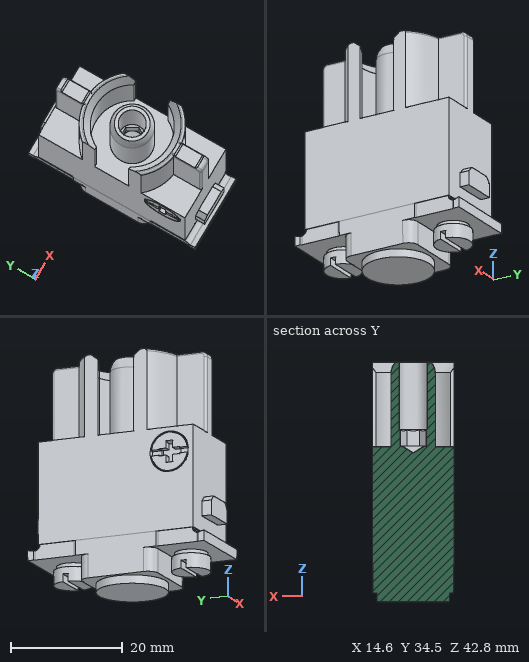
import cadquery as cq
import math

TOTAL_HEIGHT = 42.84
PLATE_Z = 6.0
BODY_Z = 8.75
BODY_TOP = 27.75

WIDTH = 14.6
BODY_LENGTH = 30.3

PLATE_LENGTH = 34.5
SIDE_DRAFT = 0.5
SIDE_RELIEF = 0.12
RELIEF_START = 8.05
RELIEF_END = 15.95
RELIEF_STEP = 0.3
LIP_Z = 7.95
GROOVE_Z = 7.7
GROOVE_OUTER = 16.25
GROOVE_INNER = 14.95
GROOVE_WALL_Z = 8.5

BOSS_LENGTH = 14.85
BOSS_RADIUS = 2.0
SPIGOT_DIAMETER = 13.0
SPIGOT_HEIGHT = 1.55

SCREW_OFFSET = 11.55
SCREW_NECK_DIAMETER = 6.0
SCREW_HEAD_DIAMETER = 7.0
SCREW_HEAD_TOP = 5.2
SCREW_HEAD_BOTTOM = 2.5
SCREW_SLOT_WIDTH = 1.0
SCREW_SLOT_DEPTH = 1.45

TAB_WIDTH = 6.95
TAB_BOTTOM = 11.7
TAB_TOP = 15.45
TAB_CHAMFER = 1.0
TAB_REACH = 17.0

SHELL_RADIUS = 9.5
SHELL_EDGE_RADIUS = 0.5
BORE_RADIUS = 7.5
MOUTH_RADIUS = 8.75
MOUTH_DEPTH = 1.9
SIDE_GAP = 7.0

RIB_WIDTH = 2.9
RIB_CORNER_RADIUS = 0.45
RIB_NOSE_RADIUS = 1.1
RIB_RELIEF_START = 9.35
RIB_RELIEF_END = 14.1
RIB_RELIEF_RAMP = 0.35
RIB_RELIEF_DEPTH = 0.15

PIN_RADIUS = 4.0
PIN_TIP_RADIUS = 3.2
PIN_TIP_HEIGHT = 2.1
PIN_BULGE_RADIUS = 3.82
PIN_BORE_DIAMETER = 5.0
PIN_BORE_DEPTH = 12.0
HEX_SIDES = 6
HEX_ACROSS_FLATS = 4.0
HEX_DEPTH = 3.0
DRILL_HALF_ANGLE = 59.0

CROSS_Y = -10.45
CROSS_Z = 23.25
CROSS_RING_OUTER = 7.45
CROSS_RING_INNER = 7.1
CROSS_RING_DEPTH = 0.5
CROSS_SLOT_WIDTH = 1.05
CROSS_SLOT_DEPTH = 1.0
CROSS_ARM_LENGTH = 4.0
CROSS_ARM_WIDTH = 1.3
CROSS_DEPTH = 1.5
CROSS_FLOOR_LENGTH = 3.5

HALF_WIDTH = WIDTH / 2
REVOLVE_AXIS = ((0, 0, 0), (0, 1, 0))
END_SIDES = (-1, 1)


def block(x_size, y_size, z_low, z_high):
    """Box centred on the Z axis between two heights."""
    return cq.Workplane("XY", origin=(0, 0, z_low)).rect(x_size, y_size).extrude(z_high - z_low)


def cylinder(diameter, z_low, z_high, y=0):
    """Upright cylinder on the X = 0 plane."""
    return cq.Workplane("XY", origin=(0, y, z_low)).circle(diameter / 2).extrude(z_high - z_low)


def make_plate():
    """Drafted plate with relieved sides, end lips and a round groove behind each lip."""
    half_step = RELIEF_STEP / 2
    relieved = HALF_WIDTH - SIDE_RELIEF
    quarter = [
        (HALF_WIDTH, RELIEF_START - half_step),
        (relieved, RELIEF_START + half_step),
        (relieved, RELIEF_END - half_step),
        (HALF_WIDTH, RELIEF_END + half_step),
        (HALF_WIDTH, PLATE_LENGTH),
    ]
    left = [(-x, y) for x, y in reversed(quarter)]
    outline = quarter + left + [(-x, -y) for x, y in quarter + left]
    plan = (
        cq.Workplane("XY", origin=(0, 0, BODY_Z))
        .polyline(outline)
        .close()
        .extrude(PLATE_Z - BODY_Z, taper=SIDE_DRAFT)
    )

    end = PLATE_LENGTH / 2
    diagonal = math.sqrt(0.5)
    groove_mid = (
        GROOVE_OUTER - (GROOVE_OUTER - GROOVE_INNER) * diagonal,
        GROOVE_WALL_Z - (GROOVE_WALL_Z - GROOVE_Z) * diagonal,
    )
    profile = (
        cq.Workplane("YZ")
        .moveTo(0, PLATE_Z)
        .lineTo(end, PLATE_Z)
        .lineTo(end, LIP_Z)
        .lineTo(GROOVE_OUTER, GROOVE_Z)
        .threePointArc(groove_mid, (GROOVE_INNER, GROOVE_WALL_Z))
        .lineTo(GROOVE_INNER, BODY_Z)
        .lineTo(0, BODY_Z)
        .mirrorY()
        .extrude(HALF_WIDTH, both=True)
    )
    return plan.intersect(profile)


def make_boss():
    """Rounded, drafted boss under the plate with a round spigot below it."""
    plate_bottom_width = WIDTH - 2 * (BODY_Z - PLATE_Z) * math.tan(math.radians(SIDE_DRAFT))
    boss = (
        cq.Workplane("XY", origin=(0, 0, PLATE_Z))
        .sketch()
        .rect(plate_bottom_width, BOSS_LENGTH)
        .vertices()
        .fillet(BOSS_RADIUS)
        .finalize()
        .extrude(SPIGOT_HEIGHT - PLATE_Z, taper=SIDE_DRAFT)
    )
    return boss.union(cylinder(SPIGOT_DIAMETER, 0, SPIGOT_HEIGHT))


def make_fixing_screw(y):
    """Slotted screw hanging below the plate, slot along X."""
    neck = cylinder(SCREW_NECK_DIAMETER, SCREW_HEAD_TOP, PLATE_Z, y)
    head = cylinder(SCREW_HEAD_DIAMETER, SCREW_HEAD_BOTTOM, SCREW_HEAD_TOP, y)
    slot_top = SCREW_HEAD_BOTTOM + SCREW_SLOT_DEPTH
    slot = block(SCREW_HEAD_DIAMETER, SCREW_SLOT_WIDTH, SCREW_HEAD_BOTTOM, slot_top)
    return neck.union(head).cut(slot.translate((0, y, 0)))


def make_tabs():
    """Latch tabs on both end faces, with bevelled upper corners."""
    return (
        block(TAB_WIDTH, 2 * TAB_REACH, TAB_BOTTOM, TAB_TOP)
        .edges("|Y and >Z")
        .chamfer(TAB_CHAMFER)
    )


def make_ribs():
    """Radial ribs with rounded edges and a slightly lowered top."""
    ribs = (
        block(RIB_WIDTH, BODY_LENGTH, BODY_TOP, TOTAL_HEIGHT)
        .edges("|X and >Z")
        .fillet(RIB_NOSE_RADIUS)
        .faces("<X or >X")
        .edges("not <Z")
        .fillet(RIB_CORNER_RADIUS)
    )
    floor_z = TOTAL_HEIGHT - RIB_RELIEF_DEPTH
    floor_start = RIB_RELIEF_START + RIB_RELIEF_RAMP
    floor_end = RIB_RELIEF_END - RIB_RELIEF_RAMP
    relief = (
        cq.Workplane("YZ")
        .polyline([
            (RIB_RELIEF_START, TOTAL_HEIGHT),
            (floor_start, floor_z),
            (floor_end, floor_z),
            (RIB_RELIEF_END, TOTAL_HEIGHT),
        ])
        .close()
        .extrude(RIB_WIDTH / 2, both=True)
    )
    return ribs.cut(relief).cut(relief.mirror("XZ"))


def make_socket():
    """Ribbed round shell, trimmed to the body width and open on both X sides."""
    shell = cylinder(2 * SHELL_RADIUS, BODY_TOP, TOTAL_HEIGHT).faces(">Z").edges().fillet(SHELL_EDGE_RADIUS)
    cavity = (
        cq.Workplane("XZ")
        .moveTo(0, BODY_TOP)
        .lineTo(BORE_RADIUS, BODY_TOP)
        .lineTo(BORE_RADIUS, TOTAL_HEIGHT - MOUTH_DEPTH)
        .lineTo(MOUTH_RADIUS, TOTAL_HEIGHT)
        .lineTo(0, TOTAL_HEIGHT)
        .close()
        .revolve(360, *REVOLVE_AXIS)
    )
    return (
        shell.union(make_ribs())
        .cut(cavity)
        .cut(block(2 * SHELL_RADIUS, SIDE_GAP, BODY_TOP, TOTAL_HEIGHT))
        .intersect(block(WIDTH, BODY_LENGTH, BODY_TOP, TOTAL_HEIGHT))
    )


def make_pin():
    """Contact pin with a rounded tip."""
    tip_start = TOTAL_HEIGHT - PIN_TIP_HEIGHT
    return (
        cq.Workplane("XZ")
        .moveTo(0, BODY_TOP)
        .lineTo(PIN_RADIUS, BODY_TOP)
        .lineTo(PIN_RADIUS, tip_start)
        .threePointArc((PIN_BULGE_RADIUS, tip_start + PIN_TIP_HEIGHT / 2), (PIN_TIP_RADIUS, TOTAL_HEIGHT))
        .lineTo(0, TOTAL_HEIGHT)
        .close()
        .revolve(360, *REVOLVE_AXIS)
    )


def drill(diameter, z_low, z_high):
    """Drilled hole shape: a cylinder with a conical end below z_low."""
    radius = diameter / 2
    tip_z = z_low - radius / math.tan(math.radians(DRILL_HALF_ANGLE))
    return (
        cq.Workplane("XZ")
        .polyline([(0, tip_z), (radius, z_low), (radius, z_high), (0, z_high)])
        .close()
        .revolve(360, *REVOLVE_AXIS)
    )


def make_pin_bore():
    """Drilled pin bore with a hexagonal socket and a conical floor."""
    bore_z = TOTAL_HEIGHT - PIN_BORE_DEPTH
    hex_z = bore_z - HEX_DEPTH
    across_corners = HEX_ACROSS_FLATS / math.cos(math.pi / HEX_SIDES)
    hexagon = (
        cq.Workplane("XY", origin=(0, 0, hex_z))
        .polygon(HEX_SIDES, across_corners)
        .extrude(HEX_DEPTH)
    )
    bore = drill(PIN_BORE_DIAMETER, bore_z, TOTAL_HEIGHT)
    return bore.union(hexagon).union(drill(HEX_ACROSS_FLATS, hex_z, bore_z))


def make_cross_screw_cuts():
    """Clearance ring, straight slot and tapered cross recess of the screw in the -X face."""
    face = cq.Workplane(cq.Plane((-HALF_WIDTH, CROSS_Y, CROSS_Z), (0, -1, 0), (-1, 0, 0)))
    ring = face.circle(CROSS_RING_OUTER / 2).circle(CROSS_RING_INNER / 2).extrude(-CROSS_RING_DEPTH)
    slot = face.rect(CROSS_RING_OUTER, CROSS_SLOT_WIDTH).extrude(-CROSS_SLOT_DEPTH)
    slot = slot.intersect(face.circle(CROSS_RING_OUTER / 2).extrude(-CROSS_SLOT_DEPTH))
    mouth = CROSS_ARM_LENGTH / 2
    floor = CROSS_FLOOR_LENGTH / 2
    arm = (
        cq.Workplane("XY", origin=(-HALF_WIDTH, CROSS_Y, CROSS_Z))
        .polyline([(0, -mouth), (CROSS_DEPTH, -floor), (CROSS_DEPTH, floor), (0, mouth)])
        .close()
        .extrude(CROSS_ARM_WIDTH / 2, both=True)
    )
    screw_axis = (cq.Vector(0, CROSS_Y, CROSS_Z), cq.Vector(1, CROSS_Y, CROSS_Z))
    return ring.union(slot).union(arm).union(arm.rotate(*screw_axis, 90))


result = block(WIDTH, BODY_LENGTH, BODY_Z, BODY_TOP)
result = result.union(make_plate()).union(make_boss()).union(make_tabs())
for side in END_SIDES:
    result = result.union(make_fixing_screw(side * SCREW_OFFSET))
result = result.union(make_socket()).union(make_pin())
result = result.cut(make_pin_bore()).cut(make_cross_screw_cuts())